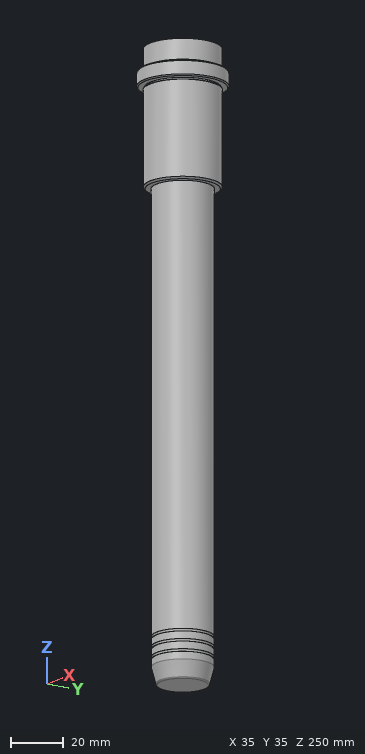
import cadquery as cq
import math

total_length = 250.0
head_length = 55.0
head_bottom = total_length - head_length

shaft_diameter = 24.0
head_diameter = 30.0
collar_diameter = 35.0

head_chamfer = 0.8

collar_offset = 9.0
collar_height = 6.2
collar_chamfer = 0.5
collar_top = total_length - collar_offset
collar_bottom = collar_top - collar_height

relief_width = 0.8
relief_depth = 0.5

lead_in_length = 7.0
end_face_diameter = 19.5
end_round = 0.5

groove_count = 3
groove_pitch = 4.0
groove_radius = 0.5
lowest_groove_height = 10.5


def make_cylinder(diameter, bottom, height):
    """Solid cylinder on the Z axis, standing at the given height."""
    return cq.Workplane("XY").workplane(offset=bottom).circle(diameter / 2).extrude(height)


def make_shaft():
    """Long shaft with a tapered lead-in and a quarter-round lower edge."""
    shaft_radius = shaft_diameter / 2
    end_radius = end_face_diameter / 2
    diagonal = end_round * math.sqrt(0.5)
    round_middle = (end_radius + diagonal, end_round - diagonal)
    round_end = (end_radius + end_round, end_round)
    profile = (
        cq.Workplane("XZ")
        .lineTo(end_radius, 0)
        .threePointArc(round_middle, round_end)
        .lineTo(shaft_radius, lead_in_length)
        .lineTo(shaft_radius, head_bottom)
        .lineTo(0, head_bottom)
        .close()
    )
    return profile.revolve(360, (0, 0), (0, 1))


def make_head():
    """Thicker head with a broken lower edge and a relief on each side of the collar."""
    head = make_cylinder(head_diameter, head_bottom, head_length)
    head = head.faces("<Z").chamfer(head_chamfer)
    for relief_bottom in (collar_top, collar_bottom - relief_width):
        head = head.cut(make_relief(relief_bottom))
    return head


def make_relief(bottom):
    """Square ring that cuts a relief groove into the head."""
    core = make_cylinder(head_diameter - 2 * relief_depth, bottom, relief_width)
    return make_cylinder(head_diameter, bottom, relief_width).cut(core)


def make_collar():
    """Collar disc with both outer edges broken."""
    collar = make_cylinder(collar_diameter, collar_bottom, collar_height)
    return collar.faces("<Z or >Z").edges().chamfer(collar_chamfer)


def make_groove(height):
    """Round-section ring that cuts a groove into the shaft surface."""
    profile = cq.Workplane("XZ").center(shaft_diameter / 2, height).circle(groove_radius)
    return profile.revolve(360, (-shaft_diameter / 2, 0), (-shaft_diameter / 2, 1))


result = make_shaft().union(make_head()).union(make_collar())
for index in range(groove_count):
    result = result.cut(make_groove(lowest_groove_height + index * groove_pitch))